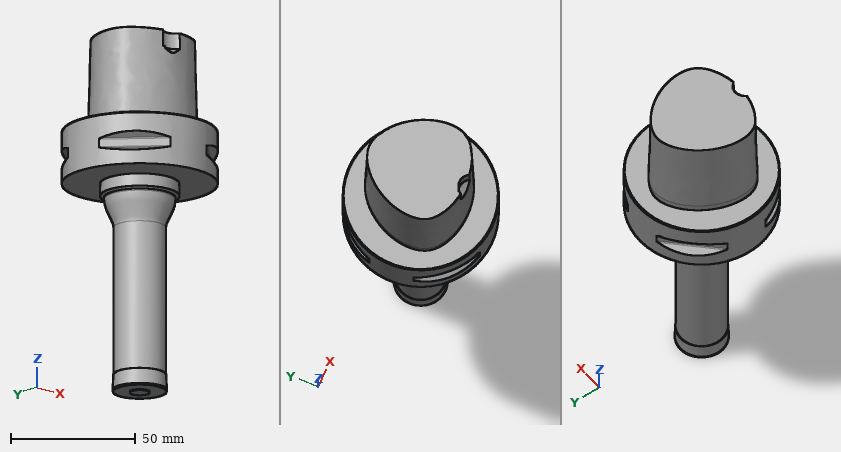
import cadquery as cq
import math


polygon_width = 44.0
polygon_lobe = 1.4
polygon_lobe_count = 3
polygon_curve_points = 72
polygon_height = 38.0
polygon_straight_height = 2.8
taper_ratio = 1 / 20

notch_radius = 5.1
notch_axis_y = -22.0
notch_depth = 6.5
notch_point_angle = 100.0

flange_diameter = 63.0
flange_height = 21.7
flange_chamfer = 0.4
groove_count = 4
groove_first_angle = 45.0
groove_center_z = -12.0
groove_floor_distance = 28.0
groove_floor_width = 3.8
groove_flank_angle = 30.0
groove_corner_radius = 0.6

collar_diameter = 32.0
collar_bottom_z = -26.8
collar_chamfer_height = 0.8
neck_diameter = 29.0
neck_bottom_z = -28.3
neck_shoulder_fullness = 0.4
neck_root_fullness = 0.3

shank_diameter = 21.2
shank_top_z = -40.0
shank_bottom_z = -101.5

tip_top_diameter = 21.4
tip_diameter = 22.0
tip_edge_z = -107.9
tip_face_z = -108.6
tip_chamfer_width = 0.2
tip_boss_diameter = 8.0
tip_boss_bottom_z = -109.0


def polygon_wire(width, z):
    """Closed curve of constant width at height z."""

    def point(turn):
        angle = 2 * math.pi * turn
        reach = width / 2 + polygon_lobe * math.cos(polygon_lobe_count * angle)
        slope = -polygon_lobe_count * polygon_lobe * math.sin(polygon_lobe_count * angle)
        along_lobe = reach * math.cos(angle) - slope * math.sin(angle)
        across_lobe = reach * math.sin(angle) + slope * math.cos(angle)
        return (-across_lobe, along_lobe, z)

    points = [cq.Vector(*point(i / polygon_curve_points)) for i in range(polygon_curve_points)]
    return cq.Wire.assembleEdges([cq.Edge.makeSpline(points, periodic=True)])


def make_polygon_taper():
    top_width = polygon_width - (polygon_height - polygon_straight_height) * taper_ratio
    base = polygon_wire(polygon_width, 0)
    taper_start = polygon_wire(polygon_width, polygon_straight_height)
    top = polygon_wire(top_width, polygon_height)
    straight = cq.Solid.makeLoft([base, taper_start], True)
    taper = cq.Solid.makeLoft([taper_start, top], True)
    return cq.Workplane(straight).union(cq.Workplane(taper))


def make_notch():
    """Drilled notch: a cylinder ending in a conical point."""
    shoulder_z = polygon_height - notch_depth
    point_depth = notch_radius / math.tan(math.radians(notch_point_angle / 2))
    profile = (
        cq.Workplane("XZ")
        .moveTo(0, shoulder_z - point_depth)
        .lineTo(notch_radius, shoulder_z)
        .lineTo(notch_radius, polygon_height)
        .lineTo(0, polygon_height)
        .close()
    )
    return profile.revolve(360, (0, 0, 0), (0, 1, 0)).translate((0, notch_axis_y, 0))


def make_flange():
    flange = cq.Workplane("XY").circle(flange_diameter / 2).extrude(-flange_height)
    return flange.faces(">Z").edges().chamfer(flange_chamfer)


def make_gripper_groove():
    """Straight trapezoidal groove on the +X side of the flange, with filleted floor corners."""
    depth = flange_diameter / 2 - groove_floor_distance
    floor_half = groove_floor_width / 2
    mouth_half = floor_half + depth * math.tan(math.radians(groove_flank_angle))
    return (
        cq.Workplane("XZ")
        .moveTo(groove_floor_distance, groove_center_z - floor_half)
        .lineTo(flange_diameter / 2, groove_center_z - mouth_half)
        .lineTo(flange_diameter / 2, groove_center_z + mouth_half)
        .lineTo(groove_floor_distance, groove_center_z + floor_half)
        .close()
        .extrude(flange_diameter / 2, both=True)
        .faces("<X")
        .edges("|Y")
        .fillet(groove_corner_radius)
    )


def make_shaft():
    """Collar, neck and shank: a turned profile below the flange."""
    collar_radius = collar_diameter / 2
    neck_radius = neck_diameter / 2
    shank_radius = shank_diameter / 2
    curve_height = neck_bottom_z - shank_top_z
    neck_curve = [
        (neck_radius, neck_bottom_z),
        (neck_radius, neck_bottom_z - neck_shoulder_fullness * curve_height),
        (shank_radius, shank_top_z + neck_root_fullness * curve_height),
        (shank_radius, shank_top_z),
    ]

    return (
        cq.Workplane("XZ")
        .moveTo(0, -flange_height)
        .lineTo(collar_radius, -flange_height)
        .lineTo(collar_radius, collar_bottom_z)
        .lineTo(neck_radius, collar_bottom_z - collar_chamfer_height)
        .lineTo(neck_radius, neck_bottom_z)
        .bezier(neck_curve)
        .lineTo(shank_radius, shank_bottom_z)
        .lineTo(0, shank_bottom_z)
        .close()
        .revolve(360, (0, 0, 0), (0, 1, 0))
    )


def make_holder():
    holder = make_flange().union(make_polygon_taper()).union(make_shaft())
    holder = holder.cut(make_notch())
    for i in range(groove_count):
        angle = groove_first_angle + i * 360 / groove_count
        holder = holder.cut(make_gripper_groove().rotate((0, 0, 0), (0, 0, 1), angle))
    return holder


def make_tip():
    """Slightly flared end piece seated on the end of the shank, with a low central boss."""
    return (
        cq.Workplane("XZ")
        .moveTo(0, shank_bottom_z)
        .lineTo(tip_top_diameter / 2, shank_bottom_z)
        .lineTo(tip_diameter / 2, tip_edge_z)
        .lineTo(tip_diameter / 2 - tip_chamfer_width, tip_face_z)
        .lineTo(tip_boss_diameter / 2, tip_face_z)
        .lineTo(tip_boss_diameter / 2, tip_boss_bottom_z)
        .lineTo(0, tip_boss_bottom_z)
        .close()
        .revolve(360, (0, 0, 0), (0, 1, 0))
    )


holder = make_holder()
tip = make_tip()
result = cq.Compound.makeCompound([holder.solids().val(), tip.val()])